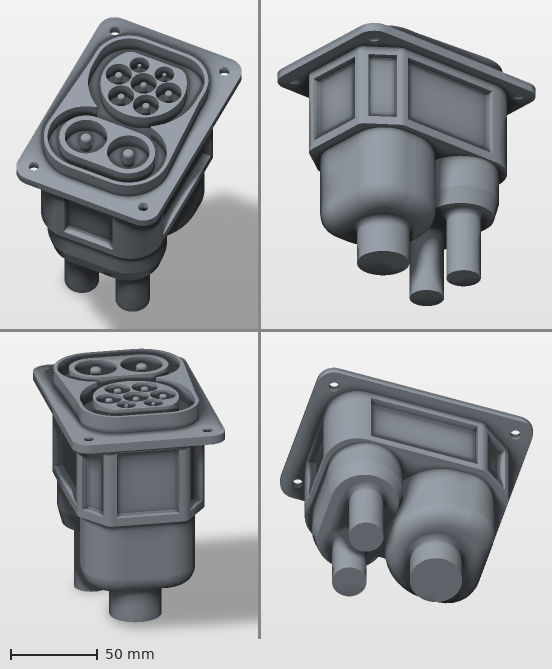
import cadquery as cq
import math


total_height = 135
rim_height = 10.1
flange_thickness = 5.1
housing_height = 50.4
flange_top = total_height - rim_height
flange_bottom = flange_top - flange_thickness
housing_bottom = flange_bottom - housing_height
dc_taper_top = 50
dc_sleeve_bottom = 40.0
ac_sleeve_bottom = 22.8

flange_width = 90.0
flange_length = 130.0
flange_corner_radius = 10.0
mount_spacing_x = 69.9
mount_spacing_y = 109.9
thread_minor_radius = 3.0
thread_major_radius = 3.4
thread_pitch = 1.0
thread_groove_width = 0.89
thread_root_overlap = 0.1

housing_half_width = 37.5
housing_half_length = 55.2
front_corner_radius = 20.0
rear_bevel_x = 14.5
rear_bevel_y = 20.2
rear_corner_radius = 5.0
panel_side_margin = 2.0
panel_end_margin = 5.0
panel_depth = 5.0
panel_floor_chamfer = 1.0

ac_corner_x = 13.5
ac_corner_y = 28.9
ac_corner_radius = 19.2
ac_bowl_y = 21.0
ac_bowl_radius = ac_corner_x + ac_corner_radius
ac_bottom_radius = 10.0
ac_cable_radius = 15.1
ac_cable_y = 17.8

dc_contact_x = 13.5
dc_contact_y = -29.5
dc_radius = 22.3
dc_taper_inset = 2.7
dc_cable_radius = 10.0
dc_cable_x = 16.2

rim_wall = 2.2
rim_notch_radius = 0.7
cable_root_radius = 2.7

ac_block_y = 20.0
ac_block_radius = 25.0
ac_block_corner_x = ac_corner_x
ac_block_corner_radius = 7.7
dc_block_radius = 15.5

dc_contact = (12.3, 3.2, 1.8)
power_contact = (7.5, 2.2, 1.1)
earth_contact = (7.5, 2.0, 1.9)
signal_contact = (5.7, 1.1, 0.4)
contact_pitch = 15.9
signal_row_offset = 11.2
lower_row_offset = 13.8


def at_height(z):
    return cq.Workplane("XY").workplane(offset=z)


def slot(z, height, radius):
    """Stadium around the two DC contacts."""
    length = 2 * (dc_contact_x + radius)
    return at_height(z).center(0, dc_contact_y).slot2D(length, 2 * radius).extrude(height)


def ac_prism(z, height, offset=0):
    """Round-cornered top over a semicircular bowl, grown outward by offset."""
    half_width = ac_bowl_radius + offset
    corner_radius = ac_corner_radius + offset
    top = ac_corner_y + corner_radius
    diagonal = corner_radius * math.sqrt(0.5)
    return (
        at_height(z)
        .moveTo(-half_width, ac_bowl_y)
        .lineTo(-half_width, ac_corner_y)
        .threePointArc((-ac_corner_x - diagonal, ac_corner_y + diagonal), (-ac_corner_x, top))
        .lineTo(ac_corner_x, top)
        .threePointArc((ac_corner_x + diagonal, ac_corner_y + diagonal), (half_width, ac_corner_y))
        .lineTo(half_width, ac_bowl_y)
        .threePointArc((0, ac_bowl_y - half_width), (-half_width, ac_bowl_y))
        .close()
        .extrude(height)
    )


def make_thread_groove():
    """V groove along a helix that starts below the flange and runs out above it."""
    helix = cq.Wire.makeHelix(thread_pitch, flange_thickness + 2 * thread_pitch, thread_minor_radius)
    inner_radius = thread_minor_radius - thread_root_overlap
    half_width = thread_groove_width / 2
    return (
        cq.Workplane("XZ")
        .polyline([(inner_radius, -half_width), (thread_major_radius, 0), (inner_radius, half_width)])
        .close()
        .sweep(cq.Workplane(obj=helix), isFrenet=True)
        .translate((0, 0, flange_bottom - thread_pitch))
    )


def make_flange():
    flange = (
        at_height(flange_bottom)
        .rect(flange_width, flange_length)
        .extrude(flange_thickness)
        .edges("|Z")
        .fillet(flange_corner_radius)
    )
    bore = at_height(flange_bottom).circle(thread_minor_radius).extrude(flange_thickness)
    groove = make_thread_groove()
    for side_x in (-1, 1):
        for side_y in (-1, 1):
            mount = (side_x * mount_spacing_x / 2, side_y * mount_spacing_y / 2, 0)
            flange = flange.cut(groove.translate(mount)).cut(bore.translate(mount))
    return flange


def make_rim():
    """Wall around both socket halves, with straight flanks tangent to the two outer arcs."""
    ac_radius = ac_bowl_radius + rim_wall
    dc_outer_radius = dc_radius + rim_wall
    drop = ac_bowl_y - dc_contact_y
    bearing = math.atan2(-drop, dc_contact_x)
    normal = bearing + math.acos((ac_radius - dc_outer_radius) / math.hypot(dc_contact_x, drop))
    ac_touch = (ac_radius * math.cos(normal), ac_bowl_y + ac_radius * math.sin(normal))
    dc_touch = (
        dc_contact_x + dc_outer_radius * math.cos(normal),
        dc_contact_y + dc_outer_radius * math.sin(normal),
    )
    flanks = (
        at_height(flange_top)
        .polyline([ac_touch, dc_touch, (-dc_touch[0], dc_touch[1]), (-ac_touch[0], ac_touch[1])])
        .close()
        .extrude(rim_height)
    )
    outside = (
        flanks
        .union(ac_prism(flange_top, rim_height, rim_wall))
        .union(slot(flange_top, rim_height, dc_outer_radius))
    )
    inside = ac_prism(flange_top, rim_height).union(slot(flange_top, rim_height, dc_radius))
    notches = cq.selectors.BoxSelector(
        (-ac_bowl_radius, dc_contact_y + dc_radius / 2, flange_top),
        (ac_bowl_radius, ac_bowl_y - ac_bowl_radius / 2, total_height),
    )
    inside = inside.edges("|Z").edges(notches).fillet(rim_notch_radius)
    return outside.cut(inside)


def make_contact_blocks():
    """Raised islands that surround the contacts inside the rim."""
    corner_y = ac_block_y + math.sqrt(
        (ac_block_radius - ac_block_corner_radius) ** 2 - ac_block_corner_x ** 2
    )
    top = corner_y + ac_block_corner_radius
    blend = ac_block_radius / (ac_block_radius - ac_block_corner_radius)
    blend_x = ac_block_corner_x * blend
    blend_y = ac_block_y + (corner_y - ac_block_y) * blend
    diagonal = ac_block_corner_radius * math.sqrt(0.5)
    ac_block = (
        at_height(flange_top)
        .moveTo(-ac_block_corner_x, top)
        .lineTo(ac_block_corner_x, top)
        .threePointArc((ac_block_corner_x + diagonal, corner_y + diagonal), (blend_x, blend_y))
        .threePointArc((0, ac_block_y - ac_block_radius), (-blend_x, blend_y))
        .threePointArc((-ac_block_corner_x - diagonal, corner_y + diagonal), (-ac_block_corner_x, top))
        .close()
        .extrude(rim_height)
    )
    return ac_block.union(slot(flange_top, rim_height, dc_block_radius))


def panel_recess(face):
    """Rectangular pocket sunk into a vertical flat, chamfered around its floor."""
    outward = face.normalAt()
    across = cq.Vector(-outward.y, outward.x, 0)
    box = face.BoundingBox()
    width = math.hypot(box.xlen, box.ylen) - 2 * panel_side_margin
    height = box.zlen - 2 * panel_end_margin
    return (
        cq.Workplane(cq.Plane(origin=face.Center(), xDir=across, normal=outward))
        .rect(width, height)
        .extrude(-panel_depth)
        .faces(cq.selectors.DirectionMinMaxSelector(outward, directionMax=False))
        .chamfer(panel_floor_chamfer)
    )


def make_housing():
    """Block with large front corners, bevelled rear corners and a recessed panel on every flat."""
    side_y = housing_half_length - rear_bevel_y
    rear_x = housing_half_width - rear_bevel_x
    block = (
        at_height(housing_bottom)
        .polyline([
            (-housing_half_width, -housing_half_length),
            (housing_half_width, -housing_half_length),
            (housing_half_width, side_y),
            (rear_x, housing_half_length),
            (-rear_x, housing_half_length),
            (-housing_half_width, side_y),
        ])
        .close()
        .extrude(housing_height)
    )
    block = block.edges("|Z and <Y").fillet(front_corner_radius)
    rear_edges = cq.selectors.BoxSelector(
        (-flange_width, 0, 0), (flange_width, flange_length, total_height)
    )
    block = block.edges("|Z").edges(rear_edges).fillet(rear_corner_radius)
    for face in block.faces("#Z").faces("%PLANE").vals():
        block = block.cut(panel_recess(face))
    return block


def make_cable(x, y, radius, root_z):
    """Cable running down to Z = 0 from a concave flare under its sleeve."""
    flare = radius + cable_root_radius
    bend = cable_root_radius * (1 - math.sqrt(0.5))
    return (
        cq.Workplane("XZ")
        .lineTo(radius, 0)
        .lineTo(radius, root_z - cable_root_radius)
        .threePointArc((radius + bend, root_z - bend), (flare, root_z))
        .lineTo(0, root_z)
        .close()
        .revolve(360, (0, 0, 0), (0, 1, 0))
        .translate((x, y, 0))
    )


def make_ac_sleeve():
    sleeve = ac_prism(ac_sleeve_bottom, housing_bottom - ac_sleeve_bottom)
    return sleeve.faces("<Z").edges().fillet(ac_bottom_radius)


def make_dc_sleeve():
    """Stadium sleeve whose lower end narrows evenly all round."""
    sleeve = slot(dc_sleeve_bottom, housing_bottom - dc_sleeve_bottom, dc_radius)
    return sleeve.faces("<Z").chamfer(dc_taper_top - dc_sleeve_bottom, dc_taper_inset)


def contact_layout():
    """Position and sizes of every contact."""
    contacts = [(0, ac_block_y, earth_contact)]
    for side in (-1, 1):
        contacts += [
            (side * contact_pitch, ac_block_y, power_contact),
            (side * contact_pitch / 2, ac_block_y - lower_row_offset, power_contact),
            (side * contact_pitch / 2, ac_block_y + signal_row_offset, signal_contact),
            (side * dc_contact_x, dc_contact_y, dc_contact),
        ]
    return contacts


def make_contact_cavity(x, y, contact):
    """Cup volume around a round-tipped pin."""
    cup_radius, pin_radius, tip_radius = contact
    cup = at_height(flange_top).center(x, y).circle(cup_radius).extrude(rim_height)
    pin = at_height(flange_top).center(x, y).circle(pin_radius).extrude(rim_height)
    return cup.cut(pin.faces(">Z").edges().fillet(tip_radius))


result = make_flange().union(make_rim()).union(make_contact_blocks()).union(make_housing())
result = result.union(make_ac_sleeve()).union(make_dc_sleeve())
result = result.union(make_cable(0, ac_cable_y, ac_cable_radius, ac_sleeve_bottom))
for side in (-1, 1):
    result = result.union(make_cable(side * dc_cable_x, dc_contact_y, dc_cable_radius, dc_sleeve_bottom))
for x, y, contact in contact_layout():
    result = result.cut(make_contact_cavity(x, y, contact))